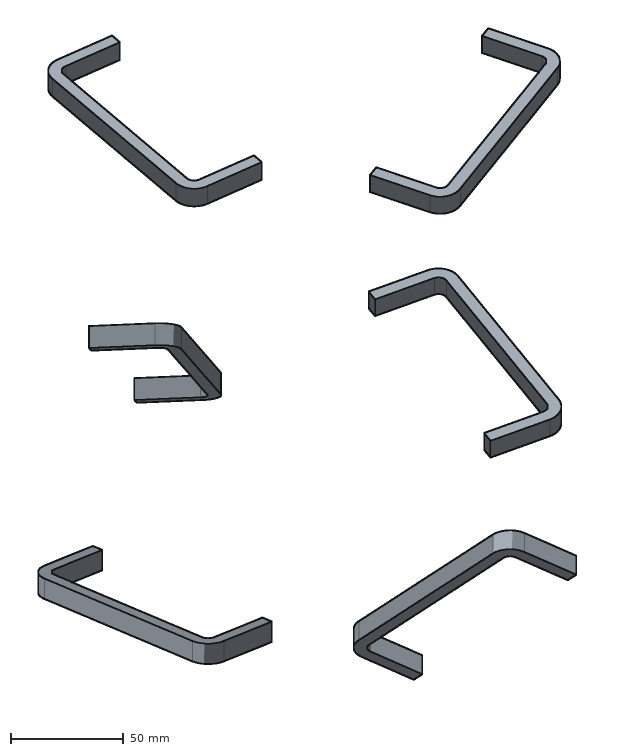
import cadquery as cq

length = 114.0
depth = 40.0
height = 10.0
bar_width = 6.0
outer_radius = 10.0
inner_radius = outer_radius - bar_width


def bent_block(size_x, size_y, front_y, corner_radius):
    """Block starting at front_y, with its two front vertical edges rounded."""
    block = cq.Workplane("XY").box(size_x, size_y, height, centered=(True, False, True))
    return block.faces("<Y").edges("|Z").fillet(corner_radius).translate((0, front_y, 0))


front_y = -depth / 2
outer_block = bent_block(length, depth, front_y, outer_radius)

inner_block = bent_block(
    length - 2 * bar_width, depth - bar_width, front_y + bar_width, inner_radius
)

result = outer_block.cut(inner_block)